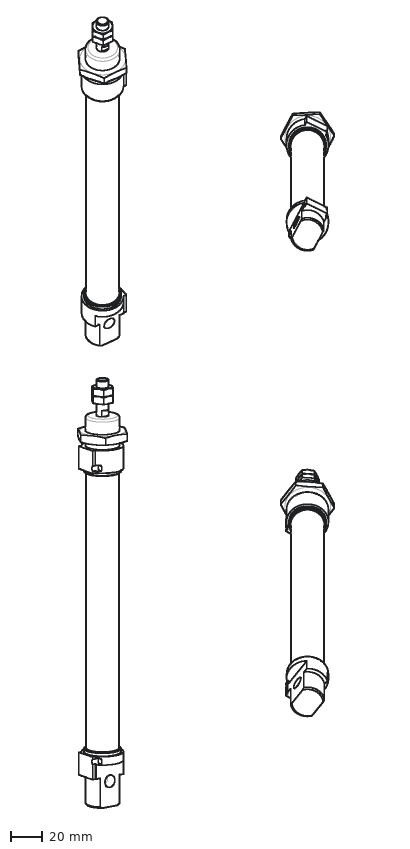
import cadquery as cq
import math


overall_length = 282.0
rod_reach = 24.0
neck_length = 20.0
front_cap_length = 15.0
collar_length = 2.5
rear_cap_bottom = 20.0
rear_cap_length = 15.0
neck_top = overall_length - rod_reach
front_cap_top = neck_top - neck_length
front_cap_bottom = front_cap_top - front_cap_length
rear_cap_top = rear_cap_bottom + rear_cap_length
front_collar_bottom = front_cap_bottom - collar_length

neck_diameter = 22.0
neck_rounding = 1.5
cap_diameter = 27.0
collar_diameter = 24.0
collar_chamfer = 0.6
tube_diameter = 21.4
eye_diameter = 22.0
eye_end_diameter = 20.0

boss_width = 15.0
boss_face = cap_diameter / 2
screw_hole_diameter = 4.2
screw_hole_x = -8.8
screw_hole_floor = 8.5
screw_hole_inset = 3.2

eye_width = 16.0
eye_flat_top = 29.5
pivot_diameter = 8.0
pivot_height = 17.0

rod_diameter = 8.0
rod_thread_root = 6.65
rod_flat_width = 6.0
rod_flat_length = 4.0
rod_bottom = front_collar_bottom

rod_nut_width = 13.0
rod_nut_height = 5.0
rod_nut_count = 2
rod_nut_bottom = 267.0
mount_nut_width = 30.0
mount_nut_height = 6.0
mount_nut_bottom = 242.0

rod_nut_chamfer_angle = math.radians(30)
mount_nut_chamfer_angle = math.radians(15)
nut_face_ratio = 0.98


def disc(diameter, bottom, top):
    """Round bar on the axis between two heights."""
    return cq.Workplane("XY", origin=(0, 0, bottom)).circle(diameter / 2).extrude(top - bottom)


def side_flats(width, bottom, top):
    """Material to remove outside X = +-width/2 between two heights."""
    height = top - bottom
    middle = (0, 0, (bottom + top) / 2)
    span = 2 * cap_diameter
    outside = cq.Workplane("XY", origin=middle).box(span, span, height)
    inside = cq.Workplane("XY", origin=middle).box(width, span, height)
    return outside.cut(inside)


def port_boss(bottom, top):
    """Block that squares off the +Y side of a cap, from the axis out to the boss face."""
    return (
        cq.Workplane("XY", origin=(0, boss_face / 2, bottom))
        .rect(boss_width, boss_face)
        .extrude(top - bottom)
    )


def screw_hole(height):
    """Blind hole sunk from the boss face along -Y, open towards -X where it passes the boss."""
    return (
        cq.Workplane("XZ", origin=(screw_hole_x, boss_face, height))
        .circle(screw_hole_diameter / 2)
        .extrude(boss_face - screw_hole_floor)
    )


def turned(outline):
    """Solid of revolution about the Z axis; the outline lists (diameter, height) from bottom to top."""
    rim = [(diameter / 2, height) for diameter, height in outline]
    profile = [(0, rim[0][1]), *rim, (0, rim[-1][1])]
    return cq.Workplane("XZ").polyline(profile).close().revolve(360, (0, 0), (0, 1))


def make_cylinder_body():
    eye_chamfer = (eye_diameter - eye_end_diameter) / 2
    collar_end_diameter = collar_diameter - 2 * collar_chamfer
    rear_collar_top = rear_cap_top + collar_length
    body = turned([
        (eye_end_diameter, 0),
        (eye_diameter, eye_chamfer),
        (eye_diameter, rear_cap_bottom),
        (cap_diameter, rear_cap_bottom),
        (cap_diameter, rear_cap_top),
        (collar_diameter, rear_cap_top),
        (collar_diameter, rear_collar_top - collar_chamfer),
        (collar_end_diameter, rear_collar_top),
        (tube_diameter, rear_collar_top),
        (tube_diameter, front_collar_bottom),
        (collar_end_diameter, front_collar_bottom),
        (collar_diameter, front_collar_bottom + collar_chamfer),
        (collar_diameter, front_cap_bottom),
        (cap_diameter, front_cap_bottom),
        (cap_diameter, front_cap_top),
        (neck_diameter, front_cap_top),
        (neck_diameter, neck_top),
    ])
    body = body.faces(">Z").edges().fillet(neck_rounding)
    body = body.union(port_boss(front_cap_bottom, front_cap_top))
    body = body.union(port_boss(rear_cap_bottom, rear_cap_top))
    body = body.cut(screw_hole(front_cap_bottom + screw_hole_inset))
    body = body.cut(screw_hole(rear_cap_top - screw_hole_inset))
    body = body.cut(side_flats(eye_width, 0, eye_flat_top))
    pivot_hole = (
        cq.Workplane("YZ", origin=(0, 0, pivot_height))
        .circle(pivot_diameter / 2)
        .extrude(eye_width, both=True)
    )
    rod_bore = disc(rod_diameter, rod_bottom, neck_top)
    return body.cut(pivot_hole).cut(rod_bore)


def make_piston_rod():
    tip_chamfer = (rod_diameter - rod_thread_root) / 2
    rod = turned([
        (rod_diameter, rod_bottom),
        (rod_diameter, overall_length - tip_chamfer),
        (rod_thread_root, overall_length),
    ])
    return rod.cut(side_flats(rod_flat_width, neck_top, neck_top + rod_flat_length))


def hex_prism(width, bottom, top):
    """Hexagon bar with two of its flats facing +-X."""
    across_corners = 2 * width / math.sqrt(3)
    prism = cq.Workplane("XY", origin=(0, 0, bottom)).polygon(6, across_corners).extrude(top - bottom)
    return prism.rotate((0, 0, 0), (0, 0, 1), 30)


def corner_cone(width, angle):
    """Diameters of a nut's chamfer cone at the end face and at the corners, and its height."""
    face_diameter = nut_face_ratio * width
    across_corners = 2 * width / math.sqrt(3)
    height = (across_corners - face_diameter) / 2 * math.tan(angle)
    return face_diameter, across_corners, height


def make_mount_nut():
    """Flat nut on the neck thread, its corners chamfered at both ends."""
    top = mount_nut_bottom + mount_nut_height
    face_diameter, across_corners, cone_height = corner_cone(mount_nut_width, mount_nut_chamfer_angle)
    blank = turned([
        (face_diameter, mount_nut_bottom),
        (across_corners, mount_nut_bottom + cone_height),
        (across_corners, top - cone_height),
        (face_diameter, top),
    ])
    nut = hex_prism(mount_nut_width, mount_nut_bottom, top).intersect(blank)
    return nut.cut(disc(neck_diameter, mount_nut_bottom, top))


def make_rod_nut(bottom):
    """Nut on the rod thread, its corners chamfered at the upper end only."""
    top = bottom + rod_nut_height
    face_diameter, across_corners, cone_height = corner_cone(rod_nut_width, rod_nut_chamfer_angle)
    blank = turned([
        (across_corners, bottom),
        (across_corners, top - cone_height),
        (face_diameter, top),
    ])
    nut = hex_prism(rod_nut_width, bottom, top).intersect(blank)
    return nut.cut(disc(rod_diameter, bottom, top))


cylinder_body = make_cylinder_body()
piston_rod = make_piston_rod()
mount_nut = make_mount_nut()
rod_nuts = [make_rod_nut(rod_nut_bottom + i * rod_nut_height) for i in range(rod_nut_count)]

result = cq.Compound.makeCompound(
    [cylinder_body.val(), piston_rod.val(), mount_nut.val(), *[nut.val() for nut in rod_nuts]]
)